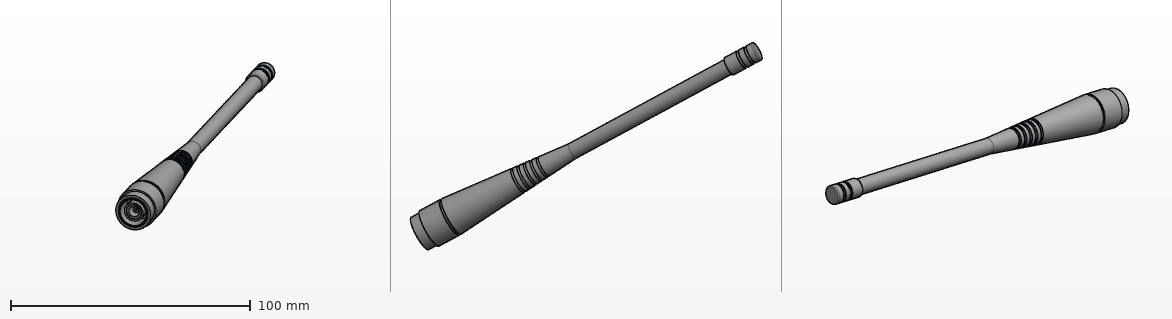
import cadquery as cq

LENGTH = 165.0
SOCKET_END = -LENGTH / 2

ROD_RADIUS = 3.5
MAX_DIAMETER = 17.0
COLLAR_RADIUS = MAX_DIAMETER / 2
TAPER_RADIUS = COLLAR_RADIUS
SOCKET_RADIUS = 7.8
NECK_RADIUS = SOCKET_RADIUS
COLLAR_START = 4.6
COLLAR_END = 14.5
TAPER_START = 15.5
TAPER_END = 74.4

GROOVE_COUNT = 5
GROOVE_START = 47.7
GROOVE_WIDTH = 1.0
GROOVE_PITCH = 3.0
GROOVE_DEPTH = 0.3

SHELL_RADIUS = 6.6
SHELL_DEPTH = 9.9
SHELL_CHAMFER_DEPTH = 0.2
SHELL_CHAMFER_WIDTH = 0.5
SHELL_BORE_RADIUS = 5.8
SHELL_BORE_DEPTH = 8.2

BARREL_RADIUS = 4.1
BARREL_STATION = 0.7
BARREL_MOUTH_RADIUS = 3.3
BARREL_MOUTH_DEPTH = 0.5
BARREL_BORE_RADIUS = 2.3
BARREL_BORE_DEPTH = 6.6
PIN_RADIUS = 1.3
PIN_STATION = 3.3
PIN_HOLE_RADIUS = 0.5

CAP_LENGTH = 14.2
CAP_RADIUS = 4.1
CAP_FILLET = 0.5
CAP_GROOVE_WIDTH = 1.2
CAP_GROOVE_DEPTH = 0.5
CAP_GROOVE_SETBACKS = (3.1, 7.0)


def cylinder(radius, start, end):
    """Cylinder on the Y axis between two stations."""
    plane = cq.Plane(origin=(0, SOCKET_END + start, 0), xDir=(1, 0, 0), normal=(0, 1, 0))
    return cq.Workplane(plane).circle(radius).extrude(end - start)


def ring(outer_radius, inner_radius, start, end):
    return cylinder(outer_radius, start, end).cut(cylinder(inner_radius, start, end))


def taper_radius_at(station):
    """Radius of the boot's cone at a station."""
    share = (station - TAPER_START) / (TAPER_END - TAPER_START)
    return TAPER_RADIUS + share * (ROD_RADIUS - TAPER_RADIUS)


def grip_groove_points():
    """Outline points of the grip grooves, whose floors run parallel to the cone."""
    points = []
    for index in range(GROOVE_COUNT):
        start = GROOVE_START + index * GROOVE_PITCH
        end = start + GROOVE_WIDTH
        start_radius = taper_radius_at(start)
        end_radius = taper_radius_at(end)
        points += [
            (start_radius, start),
            (start_radius - GROOVE_DEPTH, start),
            (end_radius - GROOVE_DEPTH, end),
            (end_radius, end),
        ]
    return points


def make_sheath():
    outline = [
        (0, 0),
        (SOCKET_RADIUS, 0),
        (SOCKET_RADIUS, COLLAR_START),
        (COLLAR_RADIUS, COLLAR_START),
        (COLLAR_RADIUS, COLLAR_END),
        (NECK_RADIUS, COLLAR_END),
        (NECK_RADIUS, TAPER_START),
        (TAPER_RADIUS, TAPER_START),
        *grip_groove_points(),
        (ROD_RADIUS, TAPER_END),
        (ROD_RADIUS, LENGTH - CAP_LENGTH),
        (0, LENGTH - CAP_LENGTH),
    ]
    sheath = cq.Workplane("XY").polyline(outline).close().revolve(360, (0, 0, 0), (0, 1, 0))
    sheath = sheath.translate((0, SOCKET_END, 0))
    return sheath.cut(cylinder(SHELL_RADIUS, 0, SHELL_DEPTH))


def make_connector():
    shell = cylinder(SHELL_RADIUS, 0, SHELL_DEPTH)
    shell = shell.faces("<Y").chamfer(SHELL_CHAMFER_DEPTH, SHELL_CHAMFER_WIDTH)
    shell = shell.cut(cylinder(SHELL_BORE_RADIUS, 0, SHELL_BORE_DEPTH))
    barrel = cylinder(BARREL_RADIUS, BARREL_STATION, SHELL_BORE_DEPTH)
    mouth_end = BARREL_STATION + BARREL_MOUTH_DEPTH
    bore_end = BARREL_STATION + BARREL_BORE_DEPTH
    barrel = barrel.cut(cylinder(BARREL_MOUTH_RADIUS, BARREL_STATION, mouth_end))
    barrel = barrel.cut(cylinder(BARREL_BORE_RADIUS, BARREL_STATION, bore_end))
    pin = ring(PIN_RADIUS, PIN_HOLE_RADIUS, PIN_STATION, SHELL_BORE_DEPTH)
    return shell.union(barrel).union(pin)


def make_cap():
    cap = cylinder(CAP_RADIUS, LENGTH - CAP_LENGTH, LENGTH).edges("%CIRCLE").fillet(CAP_FILLET)
    for setback in CAP_GROOVE_SETBACKS:
        end = LENGTH - setback
        groove = ring(2 * CAP_RADIUS, CAP_RADIUS - CAP_GROOVE_DEPTH, end - CAP_GROOVE_WIDTH, end)
        cap = cap.cut(groove)
    return cap


sheath = make_sheath()
connector = make_connector()
cap = make_cap()

result = cq.Compound.makeCompound([sheath.val(), connector.val(), cap.val()])